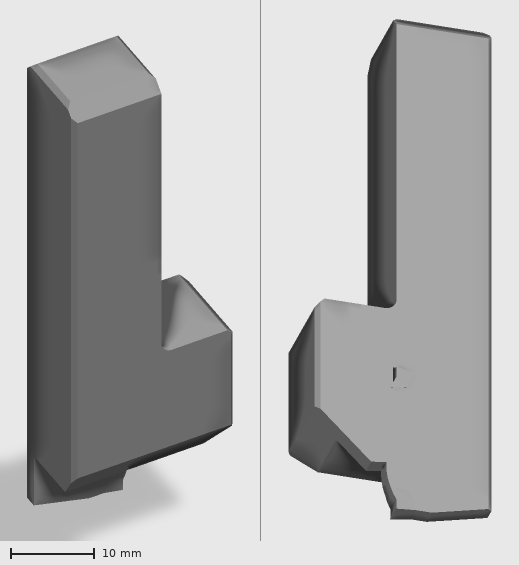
import cadquery as cq


total_height = 70.0
overall_width = 12.2
side_flare = 0.2
shank_width = overall_width - side_flare
shank_depth = shank_width
foot_depth = 22.0
foot_top = 28.0
foot_fillet = 1.5
foot_top_chamfer = 1.05
front_edge_chamfer = 0.55
back_edge_chamfer = 0.55
top_side_chamfer = 1.95
top_end_chamfer = 0.6

blade_thickness = 2.2
blade_top = 9.9
blade_fillet = 0.35
blade_front_bottom = 2.25
foot_tip_y = 15.1
foot_tip_z = 6.15
foot_heel_z = 6.45
side_bevel_width = 2.1
side_bevel_height = 3.35

insert_length = 19.9
insert_front = 7.55
insert_back = 13.2
end_relief = 0.35
crown_half = 4.05
shoulder_y = 12.7
shoulder_z = 2.95
rake_start_y = 12.45
rake_start_z = 2.25
edge_y = 12.05
rake_foot_z = 1.4
relief_end_y = 9.5
scoop_y = 10.7
scoop_z = 2.5
root_flare = 0.035
clearance_depth = 0.35

insert_middle = insert_length / 2
foot_slope_top = foot_tip_z + foot_depth - foot_tip_y


def prism(outline, width=shank_width, start=0.0):
    """Extrude a closed (Y, Z) outline along +X."""
    return cq.Workplane("YZ").workplane(offset=start).polyline(outline).close().extrude(width)


def corner_cutter(x, y, size):
    """Full-height square bar turned by 45 degrees, chamfering a vertical edge by size."""
    bar = cq.Workplane("XY").center(x, y).polyline([(size, 0), (0, size), (-size, 0), (0, -size)])
    return bar.close().extrude(total_height)


def make_insert_body():
    """Constant-thickness middle of the insert, with its back rounding down to both ends."""
    z_low = insert_middle - crown_half
    z_high = insert_middle + crown_half
    top_end = insert_length - end_relief
    drop = insert_back - shoulder_y
    run = z_low - shoulder_z
    radius = (run**2 + drop**2) / (2 * drop)
    low_end = (shoulder_y, shoulder_z)
    high_end = (shoulder_y, insert_length - shoulder_z)
    return (
        cq.Workplane("YZ")
        .moveTo(insert_front, end_relief)
        .lineTo(relief_end_y, end_relief)
        .lineTo(scoop_y, scoop_z)
        .lineTo(*low_end)
        .radiusArc((insert_back, z_low), -radius)
        .lineTo(insert_back, z_high)
        .radiusArc(high_end, -radius)
        .lineTo(scoop_y, insert_length - scoop_z)
        .lineTo(relief_end_y, top_end)
        .lineTo(insert_front, top_end)
        .close()
        .extrude(blade_thickness)
    )


def head_plan(flare):
    """Outline of a cutting head seen along Z, widest at its back."""
    return [
        (0, relief_end_y),
        (blade_thickness, relief_end_y),
        (blade_thickness + flare, edge_y),
        (blade_thickness + flare, shoulder_y),
        (-flare, shoulder_y),
        (-flare, edge_y),
    ]


def make_lower_head():
    """Cutting head whose sides flare out towards the cutting edge, along both Y and Z."""
    side = prism(
        [
            (relief_end_y, end_relief),
            (scoop_y, scoop_z),
            (shoulder_y, shoulder_z),
            (rake_start_y, rake_start_z),
            (edge_y, rake_foot_z),
            (edge_y, 0),
        ],
        blade_thickness + 2 * side_flare,
        -side_flare,
    )
    flared_block = (
        cq.Workplane("XY")
        .polyline(head_plan(side_flare))
        .close()
        .workplane(offset=shoulder_z)
        .polyline(head_plan(root_flare))
        .close()
        .loft(ruled=True)
    )
    return side.intersect(flared_block)


def make_insert():
    lower_head = make_lower_head()
    upper_head = lower_head.mirror("XY", (0, 0, insert_middle))
    return make_insert_body().union(lower_head).union(upper_head)


def make_holder(insert):
    holder = prism(
        [
            (0, blade_front_bottom),
            (0, total_height),
            (shank_depth, total_height),
            (shank_depth, foot_top),
            (foot_depth, foot_top),
            (foot_depth, foot_slope_top),
            (foot_tip_y, foot_tip_z),
            (insert_back, foot_heel_z),
            (insert_front, foot_heel_z),
            (insert_front, end_relief),
        ]
    )
    inner_corner = cq.selectors.NearestToPointSelector((shank_width / 2, shank_depth, foot_top))
    holder = holder.edges(inner_corner).fillet(foot_fillet)
    foot_back_edge = cq.selectors.NearestToPointSelector((shank_width / 2, foot_depth, foot_top))
    holder = holder.edges(foot_back_edge).chamfer(foot_top_chamfer)

    holder = holder.faces(">Z").edges("|Y").chamfer(top_side_chamfer)
    holder = holder.faces(">Z").edges("|X").chamfer(top_end_chamfer)

    for x in (0, shank_width):
        holder = holder.cut(corner_cutter(x, 0, front_edge_chamfer))
        holder = holder.cut(corner_cutter(x, foot_depth, back_edge_chamfer))

    relief = (
        cq.Workplane("XZ")
        .moveTo(blade_thickness, 0)
        .lineTo(blade_thickness, blade_top - blade_fillet)
        .radiusArc((blade_thickness + blade_fillet, blade_top), blade_fillet)
        .lineTo(shank_width - side_bevel_width, blade_top)
        .lineTo(shank_width, blade_top + side_bevel_height)
        .lineTo(shank_width, 0)
        .close()
        .extrude(-foot_depth)
    )
    holder = holder.cut(relief)

    clearance = cq.Workplane("XY").box(blade_thickness, clearance_depth, shoulder_z, centered=False)
    clearance = clearance.translate((0, edge_y, insert_length - shoulder_z))
    return holder.cut(insert).cut(clearance)


insert = make_insert()
holder = make_holder(insert)

result = cq.Compound.makeCompound([holder.val(), insert.val()])